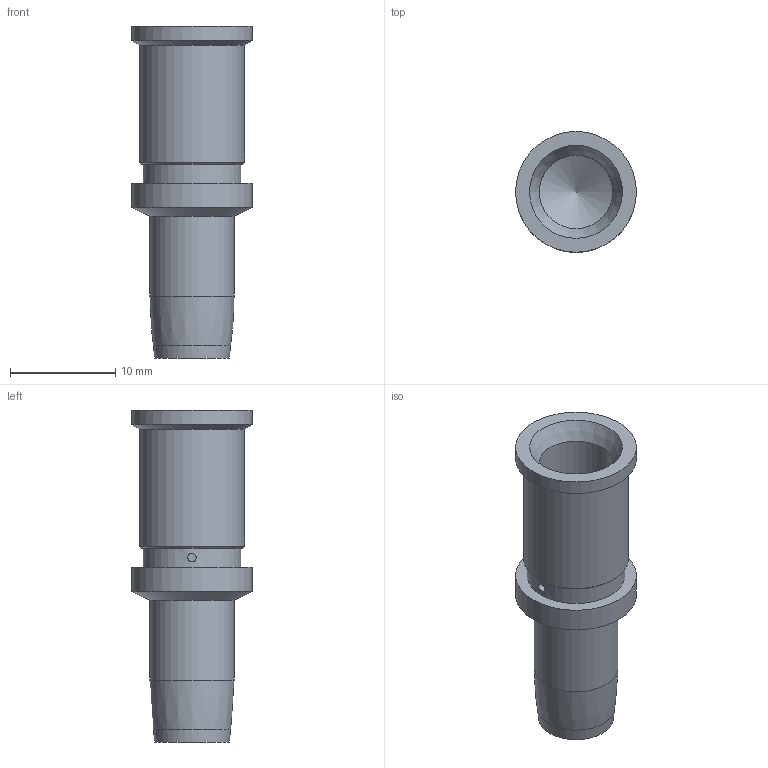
import cadquery as cq
import math

length = 31.6

flange_diameter = 11.5
barrel_diameter = 10.0
groove_diameter = 9.3
shank_diameter = 8.0
nose_diameter = 7.35
tip_diameter = 7.1

flange_rim = 1.35
flange_underside = 1.83
barrel_edge = 12.95
groove_start = 13.15
collar_top = 14.95
collar_rim = 17.25
collar_underside = 18.1
taper_start = 25.7
nose_start = 30.4

barrel_chamfer = groove_start - barrel_edge

mouth_diameter = 8.85
bore_diameter = 7.0
mouth_depth = 1.8
bore_depth = 15.0
drill_point_angle = 118.0

inspection_diameter = 0.8


def height(depth):
    """Z coordinate of a depth below the open end."""
    return length - depth


def make_body():
    """Turned outer shape; the shank runs tangentially into a curved taper."""
    flange_radius = flange_diameter / 2
    barrel_radius = barrel_diameter / 2
    groove_radius = groove_diameter / 2
    shank_radius = shank_diameter / 2
    profile = (
        cq.Workplane("XZ")
        .moveTo(0, height(0))
        .lineTo(flange_radius, height(0))
        .lineTo(flange_radius, height(flange_rim))
        .lineTo(barrel_radius, height(flange_underside))
        .lineTo(barrel_radius, height(barrel_edge))
        .lineTo(barrel_radius - barrel_chamfer, height(groove_start))
        .lineTo(groove_radius, height(groove_start))
        .lineTo(groove_radius, height(collar_top))
        .lineTo(flange_radius, height(collar_top))
        .lineTo(flange_radius, height(collar_rim))
        .lineTo(shank_radius, height(collar_underside))
        .lineTo(shank_radius, height(taper_start))
        .tangentArcPoint((nose_diameter / 2, height(nose_start)), relative=False)
        .lineTo(tip_diameter / 2, 0)
        .lineTo(0, 0)
        .close()
    )
    return profile.revolve(360, (0, 0, 0), (0, 1, 0))


def make_bore():
    """Flared mouth, straight bore and conical bottom."""
    bore_radius = bore_diameter / 2
    point_depth = bore_radius / math.tan(math.radians(drill_point_angle / 2))
    profile = (
        cq.Workplane("XZ")
        .moveTo(0, height(0))
        .lineTo(mouth_diameter / 2, height(0))
        .lineTo(bore_radius, height(mouth_depth))
        .lineTo(bore_radius, height(bore_depth))
        .lineTo(0, height(bore_depth + point_depth))
        .close()
    )
    return profile.revolve(360, (0, 0, 0), (0, 1, 0))


def make_inspection_hole():
    """Radial hole from the bore axis out through the -X side."""
    hole_depth = (groove_start + collar_top) / 2
    return (
        cq.Workplane("YZ")
        .center(0, height(hole_depth))
        .circle(inspection_diameter / 2)
        .extrude(-flange_diameter / 2)
    )


result = make_body().cut(make_bore()).cut(make_inspection_hole())